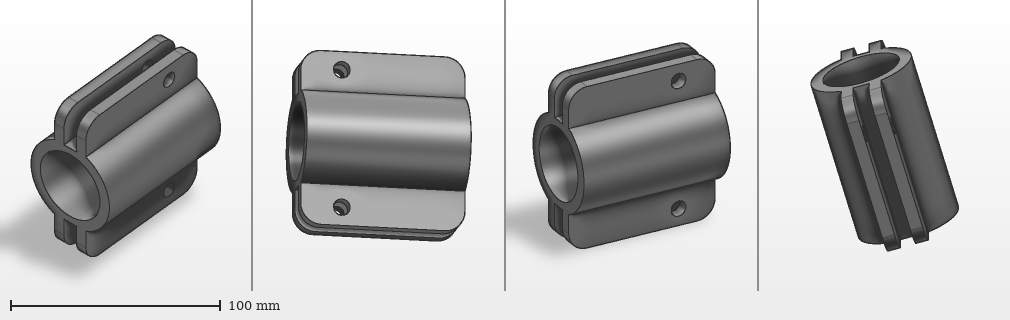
import cadquery as cq
import math

length = 80.0
tube_diameter = 50.0
bore_diameter = 38.0

overall_height = 85.8
lug_gap = 8.0
lug_thickness = 6.0
corner_radius = 9.95

hole_diameter = 8.0
hole_from_end = 20.0
hole_from_edge = 9.0

lug_pair_width = lug_gap + 2 * lug_thickness
slot_floor = math.sqrt((tube_diameter / 2) ** 2 - (lug_pair_width / 2) ** 2)
slot_depth = overall_height / 2 - slot_floor


def cylinder_along_y(diameter):
    return cq.Workplane("XZ").circle(diameter / 2).extrude(length / 2, both=True)


def lug_slot(side):
    """Gap between two lugs; side is +1 above the tube and -1 below it."""
    middle = side * (slot_floor + slot_depth / 2)
    return cq.Workplane("XY").box(lug_gap, length, slot_depth).translate((0, 0, middle))


lug_block = (
    cq.Workplane("XY")
    .box(lug_pair_width, length, overall_height)
    .edges("|X")
    .fillet(corner_radius)
)
body = cylinder_along_y(tube_diameter).union(lug_block)
body = body.cut(cylinder_along_y(bore_diameter))
for side in (1, -1):
    body = body.cut(lug_slot(side))

hole_y = length / 2 - hole_from_end
hole_z = overall_height / 2 - hole_from_edge
bolt_holes = (
    cq.Workplane("YZ")
    .pushPoints([(hole_y, hole_z), (hole_y, -hole_z)])
    .circle(hole_diameter / 2)
    .extrude(lug_pair_width / 2, both=True)
)

result = body.cut(bolt_holes)